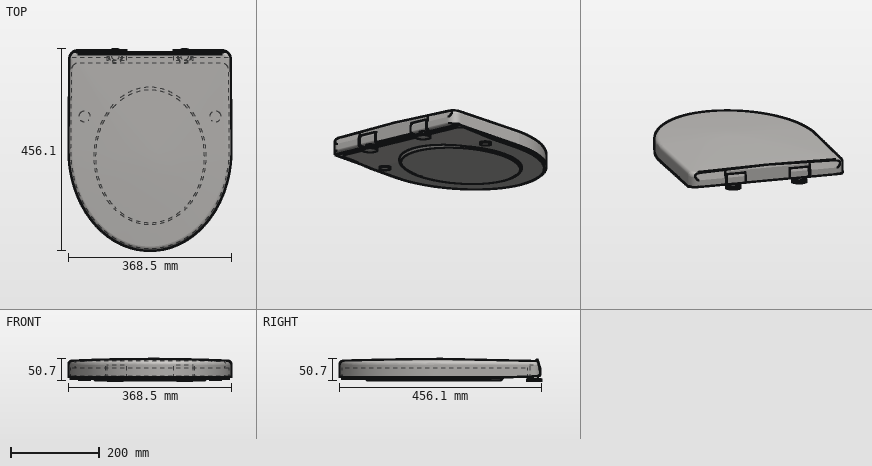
import cadquery as cq
import math


total_width = 368.52
total_length = 456.13
total_height = 50.72

foot_radius = 16.5
foot_thickness = 3.4
cap_radius = 14.0
cap_top = 4.8
stem_radius = 8.5
stem_overlap = 8.0
hinge_spacing = 156.0

block_inner_x = 52.5
block_outer_x = 97.0
block_front_y = -10.0
block_top = 36.0

half_width = total_width / 2
front_y = foot_radius - total_length
widest_y = -211.0
back_y = 13.6
back_half_width = 182.3
back_corner_radius = 21.0
lid_bottom = 9.7
lid_edge_fillet = 10.0

crown_y = -159.0
crown_drop = 4.2
crown_half_width = 176.0
crown_half_length = 271.0
crown_slab = 100.0

lean_start_z = 28.0
lean_top_y = 6.8
back_bottom = 11.7
back_step_y = -3.0
back_bottom_radius = 3.5
notch_half_width = 100.0
notch_y = 9.5

seat_inset = 5.5
seat_back_y = -15.0
seat_top = 30.0
seat_bottom = 5.3
seat_corner_radius = 16.0
seat_rise_start_y = -125.0
seat_rise_end_y = -28.0

belly_bottom = 1.4
belly_half_width = 122.5
belly_rear_y = -76.0
belly_front_y = -376.0

bumper_spacing = 295.0
bumper_y = -136.0
bumper_radius = 12.5
bumper_bottom = 2.6


def d_outline(base_z, wide, rear_wide, front, rear):
    """Closed outline with an elliptical front, slightly narrowing sides and a straight back."""
    nose = widest_y - front
    return (
        cq.Workplane("XY", origin=(0, widest_y, base_z))
        .moveTo(-wide, 0)
        .ellipseArc(wide, nose, 180, 360, startAtCurrent=True, sense=1)
        .lineTo(rear_wide, rear - widest_y)
        .lineTo(-rear_wide, rear - widest_y)
        .close()
    )


def side_profile(points, width):
    """Prism across X from a closed outline given as (y, z) points."""
    return cq.Workplane("YZ").polyline(points).close().extrude(width / 2, both=True)


def crown_body():
    """Body under the crowned top: an arc across X swung about a far axis parallel to X."""
    across_radius = (crown_half_width**2 + crown_drop**2) / (2 * crown_drop)
    along_radius = (crown_half_length**2 + crown_drop**2) / (2 * crown_drop)
    edge_x = half_width + back_corner_radius
    edge_z = total_height - across_radius + math.sqrt(across_radius**2 - edge_x**2)
    floor_z = total_height - crown_slab
    swing = 2 * math.degrees(math.asin(total_length / along_radius))
    axis_z = total_height - along_radius
    section = (
        cq.Workplane("XZ", origin=(0, crown_y, 0))
        .moveTo(-edge_x, floor_z)
        .lineTo(-edge_x, edge_z)
        .threePointArc((0, total_height), (edge_x, edge_z))
        .lineTo(edge_x, floor_z)
        .close()
    )
    body = section.revolve(swing, (0, axis_z, 0), (1, axis_z, 0))
    return body.rotate((0, crown_y, axis_z), (1, crown_y, axis_z), -swing / 2)


def back_profile():
    """Side profile that gives the back face its lean and its rounded lower edge."""
    lean = (back_y - lean_top_y) / (total_height - lean_start_z)
    overrun = total_height
    top_z = total_height + overrun
    profile = side_profile(
        [
            (front_y - overrun, lid_bottom),
            (back_step_y, lid_bottom),
            (back_step_y, back_bottom),
            (back_y, back_bottom),
            (back_y, lean_start_z),
            (back_y - lean * (top_z - lean_start_z), top_z),
            (front_y - overrun, top_z),
        ],
        2 * total_width,
    )
    lower_edge = cq.selectors.NearestToPointSelector((0, back_y, back_bottom))
    return profile.edges(lower_edge).fillet(back_bottom_radius)


def make_seat():
    """Seat with its rim, raised belly and bumper pads."""
    rim = (
        d_outline(
            seat_bottom,
            half_width - seat_inset,
            back_half_width - seat_inset,
            front_y + seat_inset,
            seat_back_y,
        )
        .extrude(seat_top - seat_bottom)
        .edges("|Z and >Y")
        .fillet(seat_corner_radius)
    )
    rise = side_profile(
        [
            (seat_rise_start_y, seat_bottom),
            (seat_rise_end_y, lid_bottom),
            (0, lid_bottom),
            (0, seat_bottom),
        ],
        2 * total_width,
    )
    belly_height = lid_bottom - belly_bottom
    belly_half_length = (belly_rear_y - belly_front_y) / 2
    belly = (
        cq.Workplane("XY", origin=(0, (belly_rear_y + belly_front_y) / 2, belly_bottom))
        .ellipse(belly_half_width, belly_half_length)
        .workplane(offset=belly_height)
        .ellipse(belly_half_width + belly_height, belly_half_length + belly_height)
        .loft(ruled=True)
    )
    bumpers = (
        cq.Workplane("XY", origin=(0, bumper_y, bumper_bottom))
        .rarray(bumper_spacing, 1, 2, 1)
        .circle(bumper_radius)
        .extrude(lid_bottom - bumper_bottom)
    )
    return rim.cut(rise).union(belly).union(bumpers)


def hinge_block(side):
    """Block in the notch of the lid; its back face follows the lid's back face."""
    width = block_outer_x - block_inner_x
    length = back_y - block_front_y
    block = cq.Workplane("XY").box(width, length, block_top - back_bottom)
    middle = (
        side * (block_outer_x + block_inner_x) / 2,
        (back_y + block_front_y) / 2,
        (block_top + back_bottom) / 2,
    )
    return block.translate(middle).intersect(back_profile())


def make_hinge(side):
    """One hinge: foot, stem and block; side is -1 or 1."""
    foot = (
        cq.Workplane("XY", origin=(side * hinge_spacing / 2, 0, 0))
        .circle(foot_radius)
        .extrude(foot_thickness)
        .faces(">Z")
        .workplane()
        .circle(cap_radius)
        .extrude(cap_top - foot_thickness)
        .faces(">Z")
        .workplane()
        .circle(stem_radius)
        .extrude(back_bottom + stem_overlap - cap_top)
    )
    return foot.union(hinge_block(side))


def make_lid(seat, hinges):
    """Crowned lid with a notch in its back and recesses for the seat and the hinges."""
    lid = (
        d_outline(lid_bottom, half_width, back_half_width, front_y, back_y)
        .extrude(total_height)
        .edges("|Z and >Y")
        .fillet(back_corner_radius)
        .intersect(crown_body())
    )
    lid = lid.faces(">Z").edges().fillet(lid_edge_fillet)
    lid = lid.intersect(back_profile())
    notch = (
        cq.Workplane("XY", origin=(0, notch_y + total_length / 2, 0))
        .rect(2 * notch_half_width, total_length)
        .extrude(2 * total_height)
    )
    lid = lid.cut(notch).cut(seat)
    for hinge in hinges:
        lid = lid.cut(hinge)
    return lid


seat = make_seat()
hinges = [make_hinge(side) for side in (-1, 1)]
lid = make_lid(seat, hinges)

result = cq.Compound.makeCompound([lid.val(), seat.val(), *[hinge.val() for hinge in hinges]])